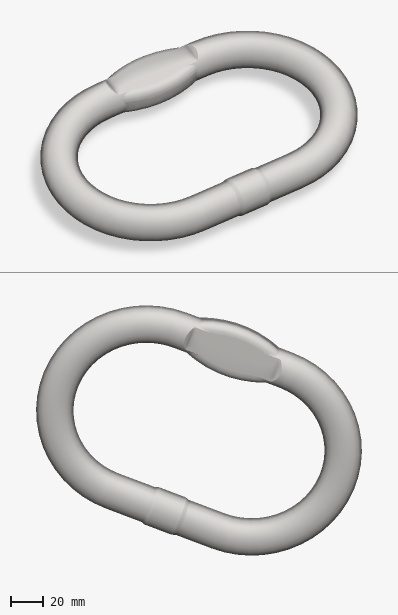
import cadquery as cq

LINK_LENGTH = 206.0
LINK_WIDTH = 136.0
BAR_DIAMETER = 23.0
BAR_RADIUS = BAR_DIAMETER / 2
BEND_RADIUS = (LINK_WIDTH - BAR_DIAMETER) / 2
STRAIGHT_LENGTH = LINK_LENGTH - LINK_WIDTH

WELD_DIAMETER = 24.7
WELD_LENGTH = 22.7
WELD_BEVEL_LENGTH = 2.5

FLAT_THICKNESS = 16.9
FLAT_LENGTH = 56.9
FLAT_RUNOUT_HEIGHT = 6.2
FLAT_RUNOUT_FILLET = 1.9
BULGE_WIDTH = 32.5
BULGE_LENGTH_AT_BAR = 49.9
BULGE_EDGE_RADIUS = 5.8


def oval_bar():
    """Round bar swept along the closed oval centreline."""
    half_straight = STRAIGHT_LENGTH / 2
    centreline = (
        cq.Workplane("XY")
        .moveTo(BEND_RADIUS, -half_straight)
        .lineTo(BEND_RADIUS, half_straight)
        .threePointArc((0, half_straight + BEND_RADIUS), (-BEND_RADIUS, half_straight))
        .lineTo(-BEND_RADIUS, -half_straight)
        .threePointArc((0, -half_straight - BEND_RADIUS), (BEND_RADIUS, -half_straight))
        .close()
    )
    section = cq.Workplane("XZ", origin=(BEND_RADIUS, -half_straight, 0)).circle(BAR_RADIUS)
    return section.sweep(centreline)


def weld_collar():
    """Raised collar with bevelled ends running down to the bar surface."""
    half_length = WELD_LENGTH / 2
    half_crest = half_length - WELD_BEVEL_LENGTH
    weld_radius = WELD_DIAMETER / 2
    profile = (
        cq.Workplane("XY")
        .polyline([
            (0, -half_length),
            (BAR_RADIUS, -half_length),
            (weld_radius, -half_crest),
            (weld_radius, half_crest),
            (BAR_RADIUS, half_length),
            (0, half_length),
        ])
        .close()
    )
    return profile.revolve(360, (0, 0, 0), (0, 1, 0)).translate((BEND_RADIUS, 0, 0))


def press_cut(side):
    """Recess above (side=1) or below (side=-1) the flat, with filleted 45 degree run-outs."""
    floor = side * FLAT_THICKNESS / 2
    mouth = floor + side * FLAT_RUNOUT_HEIGHT
    half_floor = FLAT_LENGTH / 2
    half_mouth = half_floor + FLAT_RUNOUT_HEIGHT
    return (
        cq.Workplane("YZ", origin=(-BEND_RADIUS, 0, 0))
        .polyline([
            (-half_floor, floor),
            (half_floor, floor),
            (half_mouth, mouth),
            (-half_mouth, mouth),
        ])
        .close()
        .extrude(BULGE_WIDTH / 2, both=True)
        .faces("<Z" if side > 0 else ">Z")
        .edges("|X")
        .fillet(FLAT_RUNOUT_FILLET)
    )


def side_bulge():
    """Lens-shaped plate with rounded long edges, as thick as the pressed flat."""
    half_width = BULGE_WIDTH / 2
    rise = half_width - BAR_RADIUS
    half_chord = BULGE_LENGTH_AT_BAR / 2
    arc_radius = (half_chord**2 + rise**2) / (2 * rise)
    half_length = FLAT_LENGTH / 2
    end_half_width = half_width - arc_radius + (arc_radius**2 - half_length**2) ** 0.5
    return (
        cq.Workplane("XY", origin=(-BEND_RADIUS, 0, -FLAT_THICKNESS / 2))
        .moveTo(-end_half_width, -half_length)
        .threePointArc((-half_width, 0), (-end_half_width, half_length))
        .lineTo(end_half_width, half_length)
        .threePointArc((half_width, 0), (end_half_width, -half_length))
        .close()
        .extrude(FLAT_THICKNESS)
        .faces("|Z")
        .edges("not |X")
        .fillet(BULGE_EDGE_RADIUS)
    )


link = oval_bar().union(weld_collar())
for side in (1, -1):
    link = link.cut(press_cut(side))
result = link.union(side_bulge())